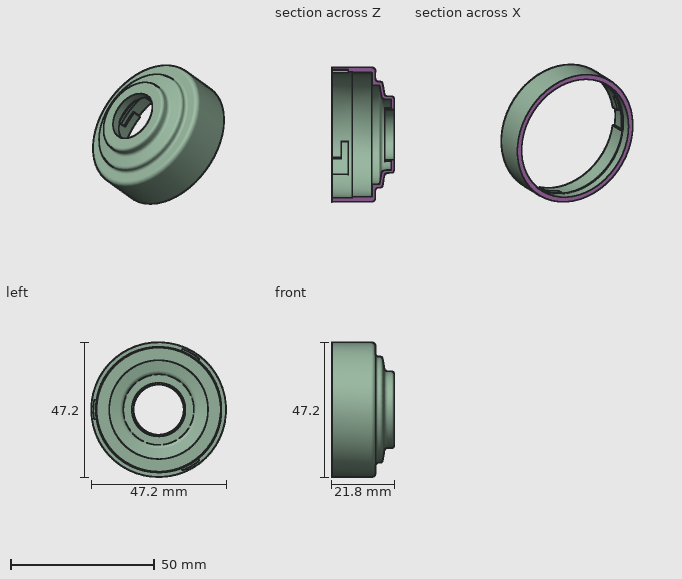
import cadquery as cq
import math

length = 21.8

rim_radius = 23.6
rim_length = 15.3
rim_round = 1.5
step_radius = 18.6
step_end = 17.65
neck_radius = 13.45
cone_slope = math.tan(math.radians(10))
edge_round = 1.0

mouth_radius = 22.0
mouth_depth = 7.1
bore_radius = 21.65
floor_depth = 14.0
step_bore_radius = 17.28
step_bore_depth = 16.6
neck_bore_radius = 12.3
neck_bore_depth = 20.7
throat_round = 1.35
small_round = 0.25
collar_radius = 9.4
hole_radius = 8.75
collar_start = 18.5

slot_count = 3
slot_radius = 22.8
slot_width = 6.75
slot_depth = 5.65
lip_depth = 3.3
channel_end_angle = 24.0


def revolve_outline(points):
    """Turn a closed outline of (x, radius) points about the X axis."""
    return cq.Workplane("XY").polyline(points).close().revolve(360, (0, 0, 0), (1, 0, 0))


def ring_edge(x, radius):
    """Select the circular edge of the given radius at the given X."""
    reach = 0.025
    return cq.selectors.BoxSelector(
        (x - reach, -radius - reach, -radius - reach),
        (x + reach, radius + reach, radius + reach),
        boundingbox=True,
    ) - cq.selectors.BoxSelector(
        (x - reach, -radius + reach, -radius + reach),
        (x + reach, radius - reach, radius - reach),
        boundingbox=True,
    )


def make_outer():
    cone_end = step_end + (step_radius - neck_radius) * cone_slope
    body = revolve_outline([
        (0, 0),
        (0, rim_radius),
        (rim_length, rim_radius),
        (rim_length, step_radius),
        (step_end, step_radius),
        (cone_end, neck_radius),
        (length, neck_radius),
        (length, 0),
    ])
    body = body.edges(ring_edge(rim_length, rim_radius)).fillet(rim_round)
    for x, radius in [
        (rim_length, step_radius),
        (step_end, step_radius),
        (cone_end, neck_radius),
        (length, neck_radius),
    ]:
        body = body.edges(ring_edge(x, radius)).fillet(edge_round)
    return body


def make_cavity():
    cone_end = step_bore_depth + (step_bore_radius - neck_bore_radius) * cone_slope
    cavity = revolve_outline([
        (0, 0),
        (0, mouth_radius),
        (mouth_depth, mouth_radius),
        (mouth_depth, bore_radius),
        (floor_depth, bore_radius),
        (floor_depth, step_bore_radius),
        (step_bore_depth, step_bore_radius),
        (cone_end, neck_bore_radius),
        (neck_bore_depth, neck_bore_radius),
        (neck_bore_depth, 0),
    ])
    for x, radius, size in [
        (floor_depth, bore_radius, small_round),
        (floor_depth, step_bore_radius, small_round),
        (step_bore_depth, step_bore_radius, small_round),
        (cone_end, neck_bore_radius, throat_round),
        (neck_bore_depth, neck_bore_radius, small_round),
    ]:
        cavity = cavity.edges(ring_edge(x, radius)).fillet(size)
    return cavity


def make_tube(start, end, outer_radius, inner_radius):
    """Make a ring about the X axis between two X positions."""
    return (
        cq.Workplane("YZ", origin=(start, 0, 0))
        .circle(outer_radius)
        .circle(inner_radius)
        .extrude(end - start)
    )


def make_slot():
    """Make the L-shaped bayonet slot on the +Y side: an entry and a channel behind a lip."""
    entry = cq.Workplane("XY").box(
        slot_depth, rim_radius, slot_width, centered=(False, False, True)
    )
    wedge_reach = 2 * rim_radius
    end_angle = math.radians(channel_end_angle)
    channel = (
        cq.Workplane("YZ", origin=(lip_depth, 0, 0))
        .polyline([
            (0, 0),
            (wedge_reach, 0),
            (wedge_reach * math.cos(end_angle), wedge_reach * math.sin(end_angle)),
        ])
        .close()
        .extrude(slot_depth - lip_depth)
    )
    slot_ring = make_tube(0, slot_depth, slot_radius, bore_radius)
    return slot_ring.intersect(entry.union(channel))


result = make_outer().cut(make_cavity())
result = result.union(make_tube(collar_start, length, collar_radius, hole_radius))
result = result.cut(cq.Workplane("YZ").circle(hole_radius).extrude(length))
slot = make_slot()
for index in range(slot_count):
    result = result.cut(slot.rotate((0, 0, 0), (1, 0, 0), index * 360 / slot_count))